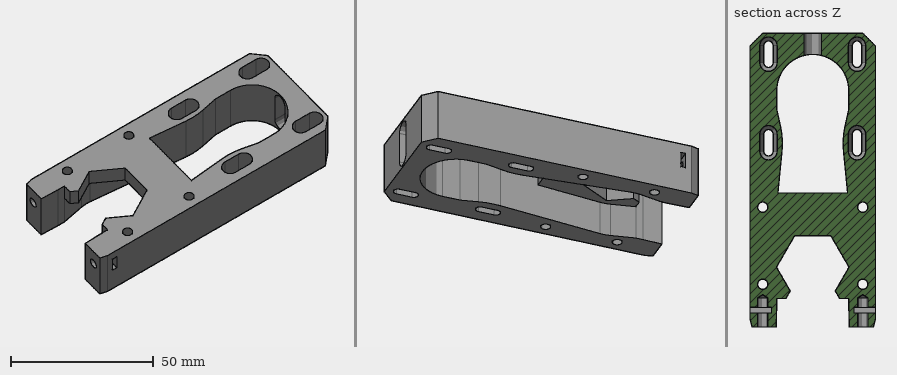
import cadquery as cq
import math

LENGTH = 103.0
WIDTH = 44.0
HEIGHT = 19.5
HALF_WIDTH = WIDTH / 2

REAR_CHAMFER = 4.5
ARM_TAPER_WIDTH = 0.7
ARM_TAPER_LENGTH = 2.9

BORE_RADIUS = 12.6
BORE_CENTER_Y = 82.9
BORE_STRAIGHT_END_Y = 76.3
MOUTH_HALF_WIDTH = 12.8
MOUTH_TAPER_LENGTH = 7.2
BELLY_HALF_WIDTH = 14.7
BELLY_Y = 20.8
BELLY_RADIUS = 13.4
NECK_HALF_WIDTH = 10.3
NECK_Y = 65.9
NECK_RADIUS = 25.8

DECK_THICKNESS = 6.5
DECK_BOTTOM_Z = HEIGHT - DECK_THICKNESS
DECK_FRONT_Y = 10.0
DECK_REAR_Y = 47.1
HEX_CENTER_Y = 21.0
HEX_CIRCUMRADIUS = 12.7
HEX_APOTHEM = HEX_CIRCUMRADIUS * math.cos(math.pi / 6)
HEX_SLOPE = math.tan(math.pi / 3)
JAW_TIP_Y = 12.7

SLOT_SPACING_X = 31.0
SLOT_ROWS_Y = (64.6, 95.6)
SLOT_TRAVEL = 6.0
SLOT_HEAD_WIDTH = 6.0
SLOT_SHANK_WIDTH = 3.2
SLOT_SEAT_ANGLE = 45.0
SLOT_SEAT_STEP = (SLOT_HEAD_WIDTH - SLOT_SHANK_WIDTH) / 2
SLOT_SEAT_DEPTH = SLOT_SEAT_STEP / math.tan(math.radians(SLOT_SEAT_ANGLE))
SLOT_SEAT_TOP_Z = 5.2

HOLE_DIAMETER = 3.5
HOLE_SPACING_X = 35.0
HOLE_ROWS_Y = (15.0, 42.0)
ARM_HOLE_DEPTH = 10.3
DRILL_TIP_ANGLE = 118.0

NUT_THICKNESS = 1.9
NUT_POCKET_HEIGHT = 5.9
NUT_POCKET_FRONT_Y = 5.0
NUT_POCKET_PAST_AXIS = 3.0

REAR_SLOT_WIDTH = 6.0
REAR_SLOT_BOTTOM_Z = 0.8
REAR_SLOT_TOP_Z = HEIGHT - REAR_SLOT_BOTTOM_Z


def make_block():
    half_outline = [
        (0, 0),
        (HALF_WIDTH - ARM_TAPER_WIDTH, 0),
        (HALF_WIDTH, ARM_TAPER_LENGTH),
        (HALF_WIDTH, LENGTH - REAR_CHAMFER),
        (HALF_WIDTH - REAR_CHAMFER, LENGTH),
        (0, LENGTH),
    ]
    half = cq.Workplane("XY").polyline(half_outline).close().extrude(HEIGHT)
    return half.union(half.mirror("YZ"))


def make_cavity():
    """Full-height cavity whose side walls swell at the belly and pinch at the neck."""
    half = (
        cq.Workplane("XY")
        .moveTo(0, 0)
        .lineTo(MOUTH_HALF_WIDTH, 0)
        .lineTo(BORE_RADIUS, MOUTH_TAPER_LENGTH)
        .lineTo(BORE_RADIUS, DECK_FRONT_Y)
        .lineTo(BELLY_HALF_WIDTH, BELLY_Y)
        .lineTo(NECK_HALF_WIDTH, NECK_Y)
        .lineTo(BORE_RADIUS, BORE_STRAIGHT_END_Y)
        .lineTo(BORE_RADIUS, BORE_CENTER_Y)
        .radiusArc((0, BORE_CENTER_Y + BORE_RADIUS), -BORE_RADIUS)
        .close()
        .extrude(HEIGHT)
    )
    mid_z = HEIGHT / 2
    half = half.edges(cq.NearestToPointSelector((BELLY_HALF_WIDTH, BELLY_Y, mid_z))).fillet(BELLY_RADIUS)
    half = half.edges(cq.NearestToPointSelector((NECK_HALF_WIDTH, NECK_Y, mid_z))).fillet(NECK_RADIUS)
    return half.union(half.mirror("YZ"))


def make_deck():
    deck_length = DECK_REAR_Y - DECK_FRONT_Y
    deck = cq.Workplane("XY", origin=(0, DECK_FRONT_Y, DECK_BOTTOM_Z)).box(
        WIDTH, deck_length, DECK_THICKNESS, centered=(True, False, False)
    )
    tip_x = HEX_CIRCUMRADIUS - (HEX_CENTER_Y - JAW_TIP_Y) / HEX_SLOPE
    jaw_front_x = tip_x + (JAW_TIP_Y - DECK_FRONT_Y) / HEX_SLOPE
    right_side = [
        (jaw_front_x, DECK_FRONT_Y),
        (tip_x, JAW_TIP_Y),
        (HEX_CIRCUMRADIUS, HEX_CENTER_Y),
        (HEX_CIRCUMRADIUS / 2, HEX_CENTER_Y + HEX_APOTHEM),
    ]
    left_side = [(-x, y) for x, y in reversed(right_side)]
    seat = (
        cq.Workplane("XY", origin=(0, 0, DECK_BOTTOM_Z))
        .polyline(right_side + left_side)
        .close()
        .extrude(DECK_THICKNESS)
    )
    return deck.cut(seat)


def make_mounting_slot(x, y):
    def slot_at(z, width):
        return cq.Workplane("XY", origin=(x, y, z)).slot2D(SLOT_TRAVEL + width, width, 90)

    head = slot_at(SLOT_SEAT_TOP_Z, SLOT_HEAD_WIDTH).extrude(HEIGHT - SLOT_SEAT_TOP_Z)
    seat = slot_at(SLOT_SEAT_TOP_Z, SLOT_HEAD_WIDTH).extrude(-SLOT_SEAT_DEPTH, taper=SLOT_SEAT_ANGLE)
    shank = slot_at(0, SLOT_SHANK_WIDTH).extrude(SLOT_SEAT_TOP_Z)
    return head.union(seat).union(shank)


def make_deck_hole(x, y):
    return cq.Workplane("XY", origin=(x, y, 0)).circle(HOLE_DIAMETER / 2).extrude(HEIGHT)


def make_arm_hole(x):
    """Blind drilled hole with a conical end, entering an arm from its front face."""
    radius = HOLE_DIAMETER / 2
    tip_length = radius / math.tan(math.radians(DRILL_TIP_ANGLE / 2))
    profile = [
        (0, 0),
        (radius, 0),
        (radius, ARM_HOLE_DEPTH),
        (0, ARM_HOLE_DEPTH + tip_length),
    ]
    return (
        cq.Workplane("XY", origin=(x, 0, DECK_BOTTOM_Z))
        .polyline(profile)
        .close()
        .revolve(360, (0, 0), (0, 1))
    )


def make_nut_pocket(side):
    inner_x = HOLE_SPACING_X / 2 - NUT_POCKET_PAST_AXIS
    depth = HALF_WIDTH - inner_x
    return cq.Workplane(
        "XY", origin=(side * (inner_x + depth / 2), NUT_POCKET_FRONT_Y, DECK_BOTTOM_Z)
    ).box(depth, NUT_THICKNESS, NUT_POCKET_HEIGHT, centered=(True, False, True))


def make_rear_slot():
    slot_height = REAR_SLOT_TOP_Z - REAR_SLOT_BOTTOM_Z
    mid_z = (REAR_SLOT_TOP_Z + REAR_SLOT_BOTTOM_Z) / 2
    return (
        cq.Workplane("XZ", origin=(0, LENGTH, mid_z))
        .slot2D(slot_height, REAR_SLOT_WIDTH, 90)
        .extrude(LENGTH - BORE_CENTER_Y)
    )


result = make_block().cut(make_cavity()).union(make_deck())
result = result.cut(make_rear_slot())
for side in (-1, 1):
    hole_x = side * HOLE_SPACING_X / 2
    for row_y in SLOT_ROWS_Y:
        result = result.cut(make_mounting_slot(side * SLOT_SPACING_X / 2, row_y))
    for row_y in HOLE_ROWS_Y:
        result = result.cut(make_deck_hole(hole_x, row_y))
    result = result.cut(make_arm_hole(hole_x))
    result = result.cut(make_nut_pocket(side))